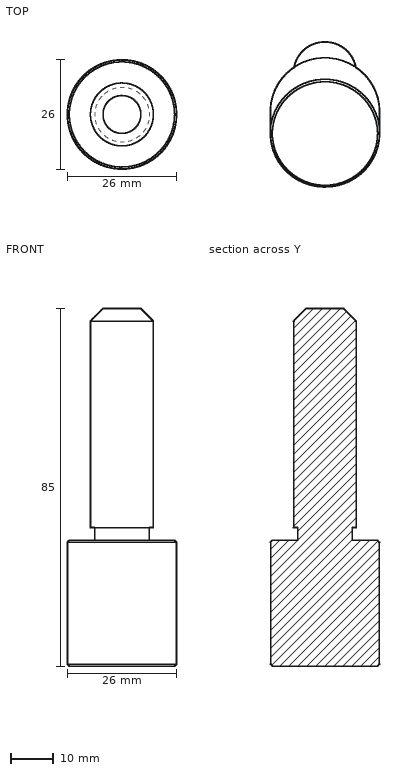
import cadquery as cq

total_height = 85.0
head_height = 30.0
neck_height = 3.0

head_diameter = 26.0
neck_diameter = 13.0
shank_diameter = 15.0

head_chamfer = 0.5
tip_chamfer = 3.0

shank_height = total_height - head_height - neck_height

head = (
    cq.Workplane("XY")
    .circle(head_diameter / 2)
    .extrude(head_height)
    .edges()
    .chamfer(head_chamfer)
)

neck = (
    cq.Workplane("XY")
    .workplane(offset=head_height)
    .circle(neck_diameter / 2)
    .extrude(neck_height)
)

shank = (
    cq.Workplane("XY")
    .workplane(offset=head_height + neck_height)
    .circle(shank_diameter / 2)
    .extrude(shank_height)
    .faces(">Z")
    .edges()
    .chamfer(tip_chamfer)
)

result = head.union(neck).union(shank)